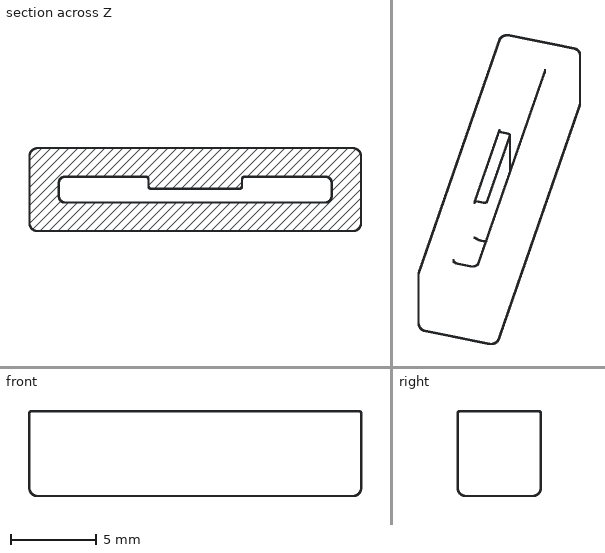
import cadquery as cq

length = 19.5
width = 4.9
height = 5.0
corner_radius = 0.5
top_edge_radius = 0.15

slot_length = 16.0
slot_width = 1.5
slot_depth = 4.0
slot_radius = 0.35
slot_floor = height - slot_depth

tongue_length = 5.5
tongue_reach = 0.7
tongue_drop = 0.5
tongue_radius = 0.15
tongue_overlap = 0.4
tongue_height = slot_depth - tongue_drop


def make_block():
    """Outer block with rounded sides and bottom."""
    block = cq.Workplane("XY").box(length, width, height, centered=(True, True, False))
    block = block.edges("|Z").fillet(corner_radius)
    return block.faces("<Z").edges().fillet(corner_radius)


def make_slot():
    """Volume of the slot, rounded at its corners and floor."""
    slot = (
        cq.Workplane("XY")
        .workplane(offset=slot_floor)
        .box(slot_length, slot_width, slot_depth, centered=(True, True, False))
    )
    slot = slot.edges("|Z").fillet(slot_radius)
    return slot.faces("<Z").edges().fillet(slot_radius)


def make_tongue():
    """Tongue with flared roots at the wall, overlapping the wall and the floor."""
    half_length = tongue_length / 2
    wall_y = slot_width / 2
    front_y = wall_y - tongue_reach
    back_y = wall_y + tongue_overlap
    root_x = half_length + tongue_radius
    flat_x = half_length - tongue_radius
    front_corner_y = front_y + tongue_radius
    root_y = wall_y - tongue_radius

    outline = (
        cq.Workplane("XY")
        .workplane(offset=slot_floor - tongue_overlap)
        .moveTo(-root_x, back_y)
        .lineTo(-root_x, wall_y)
        .radiusArc((-half_length, root_y), tongue_radius)
        .lineTo(-half_length, front_corner_y)
        .radiusArc((-flat_x, front_y), -tongue_radius)
        .lineTo(flat_x, front_y)
        .radiusArc((half_length, front_corner_y), -tongue_radius)
        .lineTo(half_length, root_y)
        .radiusArc((root_x, wall_y), tongue_radius)
        .lineTo(root_x, back_y)
        .close()
    )
    return outline.extrude(tongue_height + tongue_overlap)


body = make_block().cut(make_slot())
body = body.faces(">Z").edges().fillet(top_edge_radius)
result = body.union(make_tongue())